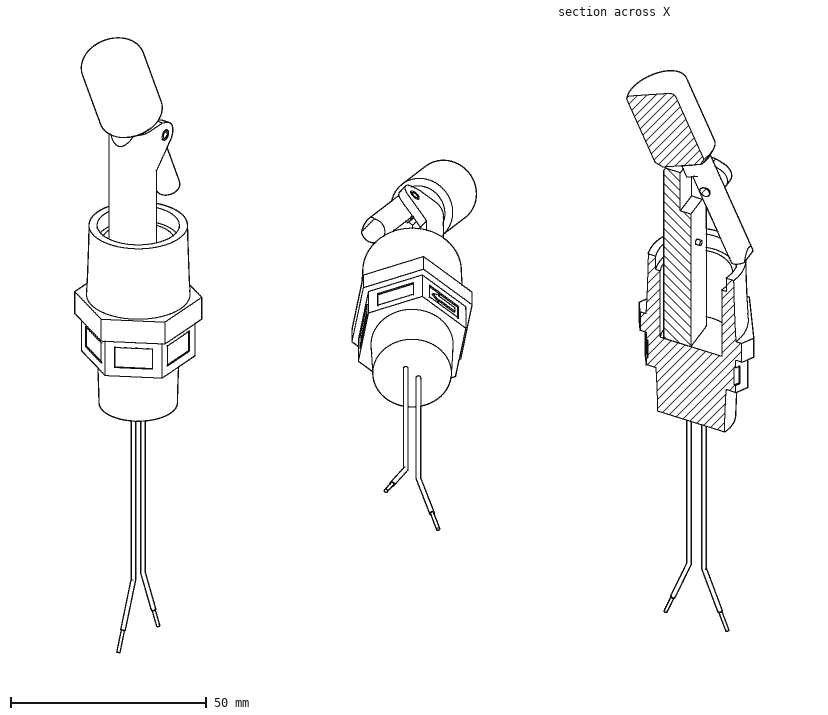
import cadquery as cq
import math


LOWER_THREAD_H = 14.3
GRIP_HEX_H = 10.8
FLANGE_H = 6.3
UPPER_THREAD_H = 20.1
GRIP_BOTTOM_Z = LOWER_THREAD_H
FLANGE_BOTTOM_Z = GRIP_BOTTOM_Z + GRIP_HEX_H
FLANGE_TOP_Z = FLANGE_BOTTOM_Z + FLANGE_H
HOUSING_TOP_Z = FLANGE_TOP_Z + UPPER_THREAD_H

FLANGE_FLATS = 28.2
GRIP_FLATS = 25.2
PIPE_TAPER = 1 / 16
UPPER_THREAD_D = 26.5
LOWER_THREAD_D = 21.0
BORE_D = 18.5
RIM_BORE_D = 21.0
RIM_BORE_DEPTH = 4.4

PANEL_W = 9.7
PANEL_H = 5.8
PANEL_DEPTH = 0.4
ARROW_LENGTH = 7.4
ARROW_HEAD_LENGTH = 2.1
ARROW_HEAD_HALF = 1.5
ARROW_SHAFT_HALF = 0.9

STEM_D = 11.5
STEM_R = STEM_D / 2
STEM_AXIS_Y = -3.0
STEM_TOP_Z = 81.8
STEM_BACK_Y = STEM_AXIS_Y - STEM_R
BACK_BEVEL_Y = 1.4
BACK_BEVEL_Z = 3.5
EAR_R = 3.4
EAR_FLAT_END_Y = 2.6
STOP_D = 1.4
STOP_LENGTH = 1.2
STOP_Z = 57.5

PIVOT_Y = 3.9
PIVOT_Z = 77.8
TILT = 24.0
PIN_R = 1.4
PIN_CHAMFER = 0.5
ARM_R = 3.2
ARM_TAIL = 22.5
ARM_FLAT_Y = 14.8
SLOT_W = 2 * ARM_R + 0.2
NECK_START = 5.0
FLOAT_OFFSET = 3.4
FLOAT_D = 16.5
FLOAT_START = 8.5
FLOAT_LENGTH = 22.4
FLOAT_BOTTOM_CHAMFER = 1.5
FLOAT_TOP_FILLET = 1.4

WIRE_Y = 2.1
WIRE_D = 1.2
CONDUCTOR_D = 0.9
BEND_Z = -50.5
SPREAD_ANGLE = 20.0
SHEATH_TAIL = 13.4
CONDUCTOR_LENGTH = 6.0


def hexagon(flats, height, bottom_z):
    """Hexagonal prism with two corners on the Y axis."""
    corner_d = flats / math.cos(math.radians(30))
    return (
        cq.Workplane("XY", origin=(0, 0, bottom_z))
        .polygon(6, corner_d)
        .extrude(height)
        .rotate((0, 0, 0), (0, 0, 1), 30)
    )


def tapered_thread(large_d, height, large_end_z, direction):
    """Pipe-thread cone that narrows away from its large end (direction +1 up, -1 down)."""
    small_d = large_d - height * PIPE_TAPER
    return cq.Workplane(
        cq.Solid.makeCone(
            large_d / 2, small_d / 2, height,
            pnt=cq.Vector(0, 0, large_end_z), dir=cq.Vector(0, 0, direction),
        )
    )


def panel_recess():
    """Label recess in the hexagon face at -X."""
    mid_z = GRIP_BOTTOM_Z + GRIP_HEX_H / 2
    return cq.Workplane("XY").box(2 * PANEL_DEPTH, PANEL_W, PANEL_H).translate((-GRIP_FLATS / 2, 0, mid_z))


def arrow_mark():
    """Raised arrow that points to +Y on the floor of the -X recess."""
    tip = ARROW_LENGTH / 2
    head_base = tip - ARROW_HEAD_LENGTH
    mid_z = GRIP_BOTTOM_Z + GRIP_HEX_H / 2
    return (
        cq.Workplane("YZ", origin=(-GRIP_FLATS / 2, 0, mid_z))
        .moveTo(tip, 0)
        .lineTo(head_base, ARROW_HEAD_HALF)
        .lineTo(head_base, ARROW_SHAFT_HALF)
        .lineTo(-tip, ARROW_SHAFT_HALF)
        .lineTo(-tip, -ARROW_SHAFT_HALF)
        .lineTo(head_base, -ARROW_SHAFT_HALF)
        .lineTo(head_base, -ARROW_HEAD_HALF)
        .close()
        .extrude(PANEL_DEPTH)
    )


def make_housing():
    body = (
        hexagon(GRIP_FLATS, GRIP_HEX_H, GRIP_BOTTOM_Z)
        .union(hexagon(FLANGE_FLATS, FLANGE_H, FLANGE_BOTTOM_Z))
        .union(tapered_thread(UPPER_THREAD_D, UPPER_THREAD_H, FLANGE_TOP_Z, 1))
        .union(tapered_thread(LOWER_THREAD_D, LOWER_THREAD_H, GRIP_BOTTOM_Z, -1))
    )
    bore_depth = HOUSING_TOP_Z - FLANGE_BOTTOM_Z
    bore = cq.Workplane("XY", origin=(0, 0, FLANGE_BOTTOM_Z)).circle(BORE_D / 2).extrude(bore_depth)
    rim_z = HOUSING_TOP_Z - RIM_BORE_DEPTH
    rim_bore = cq.Workplane("XY", origin=(0, 0, rim_z)).circle(RIM_BORE_D / 2).extrude(RIM_BORE_DEPTH)
    body = body.cut(bore).cut(rim_bore)
    for face in range(6):
        body = body.cut(panel_recess().rotate((0, 0, 0), (0, 0, 1), 60 * face))
    return body.union(arrow_mark())


def pivot_cylinder(radius):
    """Cylinder across the full stem width on the pivot axis."""
    return cq.Workplane("YZ", origin=(-STEM_R, PIVOT_Y, PIVOT_Z)).circle(radius).extrude(STEM_D)


def ear_point(angle):
    """Point on the ear's round end, by angle from +Y towards +Z."""
    return (
        PIVOT_Y + EAR_R * math.cos(math.radians(angle)),
        PIVOT_Z + EAR_R * math.sin(math.radians(angle)),
    )


EAR_BOTTOM_ANGLE = -45
EAR_BOTTOM = ear_point(EAR_BOTTOM_ANGLE)
EAR_ROOT_Z = EAR_BOTTOM[1] - EAR_BOTTOM[0]


def ears():
    """Clevis lobe: round about the pivot, sloped on top and cut back at 45 degrees below."""
    dy = EAR_FLAT_END_Y - PIVOT_Y
    dz = STEM_TOP_Z - PIVOT_Z
    tangent_swing = math.degrees(math.acos(EAR_R / math.hypot(dy, dz)))
    top_angle = math.degrees(math.atan2(dz, dy)) - tangent_swing
    return (
        cq.Workplane("YZ", origin=(-STEM_R, 0, 0))
        .moveTo(STEM_AXIS_Y, STEM_TOP_Z)
        .lineTo(EAR_FLAT_END_Y, STEM_TOP_Z)
        .lineTo(*ear_point(top_angle))
        .threePointArc(ear_point((top_angle + EAR_BOTTOM_ANGLE) / 2), EAR_BOTTOM)
        .lineTo(STEM_AXIS_Y, EAR_ROOT_Z + STEM_AXIS_Y)
        .close()
        .extrude(STEM_D)
    )


def arm_slot():
    """Slot between the ears, from their lower root up through the top."""
    depth = PIVOT_Y + EAR_R - STEM_AXIS_Y
    height = STEM_TOP_Z - EAR_ROOT_Z
    return cq.Workplane("XY").box(SLOT_W, depth, height, centered=(True, False, False)).translate(
        (0, STEM_AXIS_Y, EAR_ROOT_Z)
    )


def back_bevel():
    """Wedge removed from the rounded back at the stem top."""
    return (
        cq.Workplane("YZ", origin=(-STEM_R, 0, 0))
        .moveTo(STEM_BACK_Y, STEM_TOP_Z - BACK_BEVEL_Z)
        .lineTo(STEM_BACK_Y + BACK_BEVEL_Y, STEM_TOP_Z)
        .lineTo(STEM_BACK_Y, STEM_TOP_Z)
        .close()
        .extrude(STEM_D)
    )


def make_stem():
    post = (
        cq.Workplane("XY", origin=(0, 0, FLANGE_BOTTOM_Z))
        .moveTo(STEM_R, 0)
        .lineTo(-STEM_R, 0)
        .lineTo(-STEM_R, STEM_AXIS_Y)
        .threePointArc((0, STEM_BACK_Y), (STEM_R, STEM_AXIS_Y))
        .close()
        .extrude(STEM_TOP_Z - FLANGE_BOTTOM_Z)
    )
    stop = cq.Workplane("XZ", origin=(0, 0, STOP_Z)).circle(STOP_D / 2).extrude(-STOP_LENGTH)
    return (
        post.cut(back_bevel())
        .union(ears())
        .cut(arm_slot())
        .cut(pivot_cylinder(PIN_R))
        .union(stop)
    )


def tilted(shape):
    """Move a shape built about an upright arm through the origin into its leaning place."""
    return shape.rotate((0, 0, 0), (1, 0, 0), TILT).translate((0, PIVOT_Y, PIVOT_Z))


def make_pin():
    return pivot_cylinder(PIN_R).faces("<X or >X").chamfer(PIN_CHAMFER)


def make_arm():
    rod = (
        cq.Workplane("XY", origin=(0, 0, -ARM_TAIL))
        .circle(ARM_R)
        .extrude(ARM_TAIL + FLOAT_START)
    )
    neck = (
        cq.Workplane("XY", origin=(0, -FLOAT_OFFSET / 2, NECK_START))
        .rect(2 * ARM_R, FLOAT_OFFSET)
        .extrude(FLOAT_START - NECK_START)
    )
    beyond_flat = (
        cq.Workplane("XZ", origin=(0, ARM_FLAT_Y, PIVOT_Z - ARM_TAIL))
        .rect(2 * ARM_R, ARM_TAIL)
        .extrude(-ARM_R)
    )
    return tilted(rod.union(neck)).cut(pivot_cylinder(PIN_R)).cut(beyond_flat)


def make_float():
    drum = (
        cq.Workplane("XY", origin=(0, -FLOAT_OFFSET, FLOAT_START))
        .circle(FLOAT_D / 2)
        .extrude(FLOAT_LENGTH)
        .faces("<Z")
        .chamfer(FLOAT_BOTTOM_CHAMFER)
        .faces(">Z")
        .edges()
        .fillet(FLOAT_TOP_FILLET)
    )
    return tilted(drum)


def sloped_rod(diameter, start, length, side):
    """Rod in the wire's sloped line, starting at a distance below the bend."""
    lean = math.radians(SPREAD_ANGLE)
    direction = cq.Vector(0, side * math.sin(lean), -math.cos(lean))
    bend = cq.Vector(0, side * WIRE_Y, BEND_Z)
    return cq.Workplane(cq.Solid.makeCylinder(diameter / 2, length, bend + direction * start, direction))


def make_sheath(side):
    """Insulation: a straight run, a ball joint at the bend and a sloped tail."""
    straight = cq.Workplane("XY", origin=(0, side * WIRE_Y, BEND_Z)).circle(WIRE_D / 2).extrude(-BEND_Z)
    elbow = cq.Workplane("XY", origin=(0, side * WIRE_Y, BEND_Z)).sphere(WIRE_D / 2)
    return straight.union(elbow).union(sloped_rod(WIRE_D, 0, SHEATH_TAIL, side))


def make_conductor(side):
    """Bare wire end that continues from the sheath."""
    return sloped_rod(CONDUCTOR_D, SHEATH_TAIL, CONDUCTOR_LENGTH, side)


housing = make_housing()
stem = make_stem()
pin = make_pin()
arm = make_arm()
float_drum = make_float()

wires = []
for side in (-1, 1):
    wires.append(make_sheath(side).val())
    wires.append(make_conductor(side).val())

result = cq.Compound.makeCompound(
    [housing.val(), stem.val(), pin.val(), arm.val(), float_drum.val(), *wires]
)